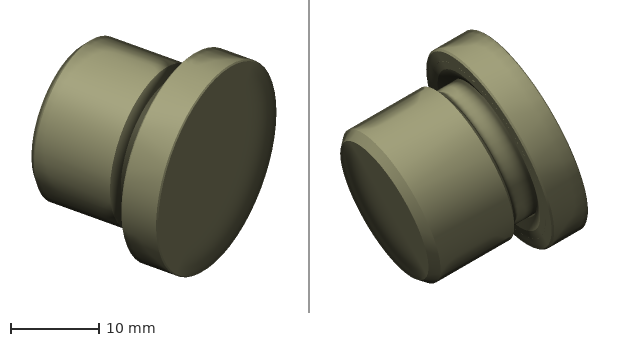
import cadquery as cq

total_length = 19.2
flange_thickness = 4.91
flange_radius = 26 / 2
shank_radius = 20.0 / 2
neck_radius = 17.6 / 2

tip_chamfer = 1.0
shank_end_x = 11.05
shank_end_bevel_length = 0.7
flange_front_chamfer = 0.2
flange_back_chamfer = 0.15

groove_radius = 23.0 / 2
ring_outer_radius = 22.98 / 2
ring_inner_radius = 18.0 / 2
ring_mouth_radius = 20.95 / 2
ring_thickness = 2.0
ring_bevel_length = 0.52

flange_front_x = total_length - flange_thickness
groove_floor_x = flange_front_x + ring_thickness


def revolve_about_x(profile_points):
    """Turn a closed (x, radius) outline into a solid of revolution about X."""
    outline = cq.Workplane("XY").polyline(profile_points).close()
    return outline.revolve(360, (0, 0, 0), (1, 0, 0))


def make_plug():
    """Chamfered shank, undercut neck and flange with a groove in its front face."""
    return revolve_about_x([
        (0, 0),
        (0, shank_radius - tip_chamfer),
        (tip_chamfer, shank_radius),
        (shank_end_x, shank_radius),
        (shank_end_x + shank_end_bevel_length, neck_radius),
        (groove_floor_x, neck_radius),
        (groove_floor_x, groove_radius),
        (flange_front_x, groove_radius),
        (flange_front_x, flange_radius - flange_front_chamfer),
        (flange_front_x + flange_front_chamfer, flange_radius),
        (total_length - flange_back_chamfer, flange_radius),
        (total_length, flange_radius - flange_back_chamfer),
        (total_length, 0),
    ])


def make_sealing_ring():
    """Ring lying in the flange groove, with a conical mouth around the neck."""
    return revolve_about_x([
        (flange_front_x, ring_mouth_radius),
        (flange_front_x, ring_outer_radius),
        (groove_floor_x, ring_outer_radius),
        (groove_floor_x, ring_inner_radius),
        (flange_front_x + ring_bevel_length, ring_inner_radius),
    ])


plug = make_plug()
sealing_ring = make_sealing_ring()

result = cq.Compound.makeCompound([plug.val(), sealing_ring.val()])